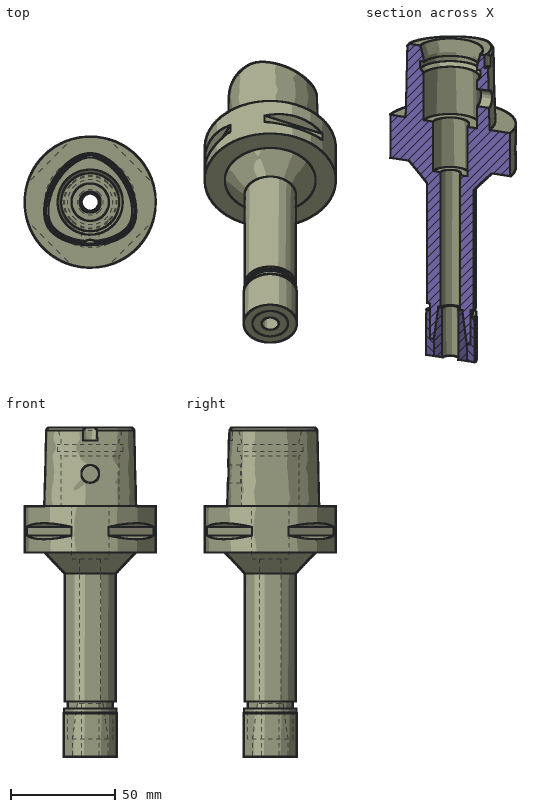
import cadquery as cq
import math


TOTAL_LENGTH = 158.0
SHANK_LENGTH = 37.8
NUT_FACE_Z = SHANK_LENGTH - TOTAL_LENGTH

SHANK_MEAN_RADIUS = 22.1
LOBE_ECCENTRICITY = 1.5
SHANK_TAPER = 1 / 40
SHANK_CHAMFER_HEIGHT = 1.5
SHANK_CHAMFER_WIDTH = 1.1
OUTLINE_POINTS = 24

FLANGE_DIAMETER = 63.0
FLANGE_RADIUS = FLANGE_DIAMETER / 2
FLANGE_THICKNESS = 22.3
CONE_TOP_RADIUS = 21.8
CONE_HEIGHT = 10.0
SHAFT_RADIUS = 12.3
SHAFT_END_Z = -93.7

GROOVE_COUNT = 4
GROOVE_FLOOR_DISTANCE = 27.6
GROOVE_FLOOR_HEIGHT = 4.1
GROOVE_MOUTH_HEIGHT = 7.7
GROOVE_Z = -12.0

MOUTH_RADIUS = 15.6
BORE_RADIUS = 13.9
MOUTH_CONE_DEPTH = 6.3
UNDERCUT_RADIUS = 15.6
UNDERCUT_START = 8.2
UNDERCUT_END = 11.5
UNDERCUT_CHAMFER_END = 13.7
BORE_DEPTH = 37.9

SCREW_HOLE_RADIUS = 9.0
SCREW_HOLE_DEPTH = 63.2
COOLANT_RADIUS = 5.0

KEY_RADIUS = 4.3
KEY_CENTRE_Y = -22.3
KEY_DEPTH = 6.3
CROSS_HOLE_RADIUS = 4.3
CROSS_HOLE_DEPTH = 22.3
CROSS_HOLE_FLOOR_Y = -14.2

NOSE_DIAMETER = 21.6
NOSE_RADIUS = NOSE_DIAMETER / 2
NOSE_LENGTH = 17.9
NOSE_END_Z = SHAFT_END_Z - NOSE_LENGTH
NUT_RADIUS = 12.8
NUT_COLLAR_RADIUS = 12.6
NUT_COLLAR_HEIGHT = 1.9
NUT_BEVEL_HEIGHT = 0.5
NUT_GAP = 3.3
NUT_TOP_Z = SHAFT_END_Z - NUT_GAP

COLLET_BORE_RADIUS = 4.1
COLLET_RADIUS = 8.5
COLLET_HALF_ANGLE = 8.0
COLLET_CONE_LENGTH = 16.9
COLLET_BACK_RADIUS = COLLET_RADIUS - COLLET_CONE_LENGTH * math.tan(math.radians(COLLET_HALF_ANGLE))
COLLET_BACK_Z = NOSE_END_Z + COLLET_CONE_LENGTH


def revolved(profile):
    """Solid of revolution about Z from a closed list of (radius, z) points."""
    return cq.Workplane("XZ").polyline(profile).close().revolve(360, (0, 0, 0), (0, 1, 0))


def lobed_point(mean_radius, angle):
    """Point of the three-lobed shank outline, with one lobe toward +Y."""
    along = (
        mean_radius * math.cos(angle)
        + 2 * LOBE_ECCENTRICITY * math.cos(2 * angle)
        - LOBE_ECCENTRICITY * math.cos(4 * angle)
    )
    across = (
        mean_radius * math.sin(angle)
        - 2 * LOBE_ECCENTRICITY * math.sin(2 * angle)
        - LOBE_ECCENTRICITY * math.sin(4 * angle)
    )
    return (-across, along)


def lobed_loft(bottom_z, bottom_radius, top_z, top_radius):
    """Ruled solid between two shank outlines."""
    angles = [math.pi + 2 * math.pi * i / OUTLINE_POINTS for i in range(OUTLINE_POINTS)]
    bottom = [lobed_point(bottom_radius, angle) for angle in angles]
    top = [lobed_point(top_radius, angle) for angle in angles]
    return (
        cq.Workplane("XY", origin=(0, 0, bottom_z))
        .spline(bottom, periodic=True)
        .close()
        .workplane(offset=top_z - bottom_z)
        .spline(top, periodic=True)
        .close()
        .loft(ruled=True)
    )


def make_shank():
    chamfer_z = SHANK_LENGTH - SHANK_CHAMFER_HEIGHT
    chamfer_radius = SHANK_MEAN_RADIUS - chamfer_z * SHANK_TAPER
    taper = lobed_loft(0, SHANK_MEAN_RADIUS, chamfer_z, chamfer_radius)
    chamfer = lobed_loft(chamfer_z, chamfer_radius, SHANK_LENGTH, chamfer_radius - SHANK_CHAMFER_WIDTH)
    return taper.union(chamfer)


def make_lower_body():
    """Flange, cone, shaft and threaded nose."""
    return revolved(
        [
            (0, 0),
            (FLANGE_RADIUS, 0),
            (FLANGE_RADIUS, -FLANGE_THICKNESS),
            (CONE_TOP_RADIUS, -FLANGE_THICKNESS),
            (SHAFT_RADIUS, -FLANGE_THICKNESS - CONE_HEIGHT),
            (SHAFT_RADIUS, SHAFT_END_Z),
            (NOSE_RADIUS, SHAFT_END_Z),
            (NOSE_RADIUS, NOSE_END_Z),
            (0, NOSE_END_Z),
        ]
    )


def make_passage():
    """Everything hollow along the axis, from the shank mouth to the top of the collet."""
    top = SHANK_LENGTH
    return revolved(
        [
            (0, top),
            (MOUTH_RADIUS, top),
            (BORE_RADIUS, top - MOUTH_CONE_DEPTH),
            (BORE_RADIUS, top - UNDERCUT_START),
            (UNDERCUT_RADIUS, top - UNDERCUT_START),
            (UNDERCUT_RADIUS, top - UNDERCUT_END),
            (BORE_RADIUS, top - UNDERCUT_CHAMFER_END),
            (BORE_RADIUS, top - BORE_DEPTH),
            (SCREW_HOLE_RADIUS, top - BORE_DEPTH),
            (SCREW_HOLE_RADIUS, top - SCREW_HOLE_DEPTH),
            (COOLANT_RADIUS, top - SCREW_HOLE_DEPTH),
            (COOLANT_RADIUS, COLLET_BACK_Z),
            (0, COLLET_BACK_Z),
        ]
    )


def make_collet_seat():
    return revolved(
        [
            (0, COLLET_BACK_Z),
            (COLLET_BACK_RADIUS, COLLET_BACK_Z),
            (COLLET_RADIUS, NOSE_END_Z),
            (0, NOSE_END_Z),
        ]
    )


def make_gripper_groove(angle):
    """Trapezoidal groove, wider at its mouth, across the flange rim at the given angle."""
    floor_half = GROOVE_FLOOR_HEIGHT / 2
    mouth_half = GROOVE_MOUTH_HEIGHT / 2
    return (
        cq.Workplane("XZ")
        .moveTo(GROOVE_FLOOR_DISTANCE, GROOVE_Z - floor_half)
        .lineTo(FLANGE_RADIUS, GROOVE_Z - mouth_half)
        .lineTo(FLANGE_RADIUS, GROOVE_Z + mouth_half)
        .lineTo(GROOVE_FLOOR_DISTANCE, GROOVE_Z + floor_half)
        .close()
        .extrude(FLANGE_RADIUS, both=True)
        .rotate((0, 0, 0), (0, 0, 1), angle)
    )


def make_key_notch():
    return (
        cq.Workplane("XY", origin=(0, KEY_CENTRE_Y, SHANK_LENGTH - KEY_DEPTH))
        .circle(KEY_RADIUS)
        .extrude(KEY_DEPTH)
    )


def make_cross_hole():
    """Blind flat-bottomed hole drilled in along +Y."""
    return (
        cq.Workplane("XZ", origin=(0, CROSS_HOLE_FLOOR_Y, SHANK_LENGTH - CROSS_HOLE_DEPTH))
        .circle(CROSS_HOLE_RADIUS)
        .extrude(SHANK_MEAN_RADIUS + CROSS_HOLE_FLOOR_Y)
    )


def make_holder():
    holder = make_shank().union(make_lower_body())
    holder = holder.cut(make_passage()).cut(make_collet_seat())
    for i in range(GROOVE_COUNT):
        holder = holder.cut(make_gripper_groove((i + 0.5) * 360 / GROOVE_COUNT))
    return holder.cut(make_key_notch()).cut(make_cross_hole())


def make_nut():
    """Nut with a slightly smaller collar on top, screwed onto the nose around the collet."""
    collar_end_z = NUT_TOP_Z - NUT_COLLAR_HEIGHT
    return revolved(
        [
            (NOSE_RADIUS, NUT_TOP_Z),
            (NUT_COLLAR_RADIUS, NUT_TOP_Z),
            (NUT_COLLAR_RADIUS, collar_end_z),
            (NUT_RADIUS, collar_end_z - NUT_BEVEL_HEIGHT),
            (NUT_RADIUS, NUT_FACE_Z),
            (COLLET_RADIUS, NUT_FACE_Z),
            (COLLET_RADIUS, NOSE_END_Z),
            (NOSE_RADIUS, NOSE_END_Z),
        ]
    )


def make_collet():
    """Tapered collet with a through bore, flush with the nut's end face."""
    return revolved(
        [
            (COLLET_BORE_RADIUS, COLLET_BACK_Z),
            (COLLET_BACK_RADIUS, COLLET_BACK_Z),
            (COLLET_RADIUS, NOSE_END_Z),
            (COLLET_RADIUS, NUT_FACE_Z),
            (COLLET_BORE_RADIUS, NUT_FACE_Z),
        ]
    )


holder = make_holder()
nut = make_nut()
collet = make_collet()

result = cq.Compound.makeCompound([holder.val(), nut.val(), collet.val()])